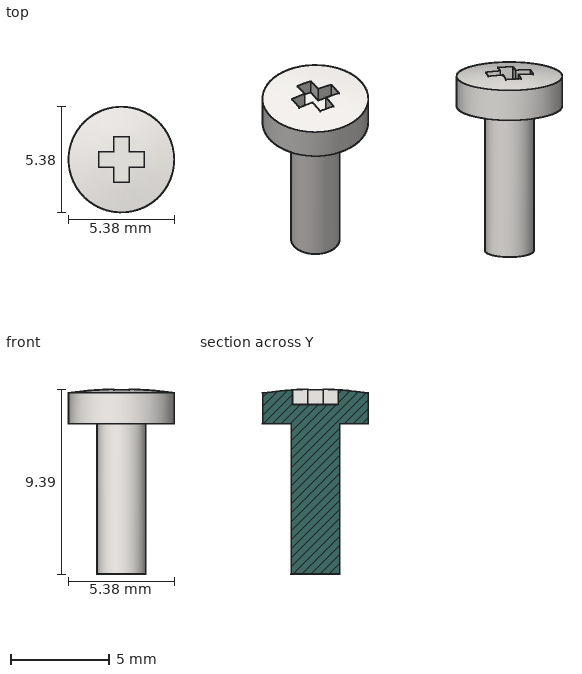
import cadquery as cq
import math

HEAD_DIAMETER = 5.38
SHANK_DIAMETER = 2.5
SHANK_LENGTH = 7.62
HEAD_SIDE_HEIGHT = 1.58
DOME_RISE = 0.2

RECESS_SPAN = 2.32
RECESS_ARM_WIDTH = 0.79
RECESS_DEPTH = 0.78

HEAD_RADIUS = HEAD_DIAMETER / 2
SHANK_RADIUS = SHANK_DIAMETER / 2
DOME_RADIUS = (HEAD_RADIUS**2 + DOME_RISE**2) / (2 * DOME_RISE)

APEX_Z = HEAD_SIDE_HEIGHT + DOME_RISE


def make_screw_blank():
    """Revolve the half profile of shank, head and shallow spherical dome."""
    half_way_x = HEAD_RADIUS / 2
    half_way_z = APEX_Z - DOME_RADIUS + math.sqrt(DOME_RADIUS**2 - half_way_x**2)
    return (
        cq.Workplane("XZ")
        .moveTo(0, -SHANK_LENGTH)
        .lineTo(SHANK_RADIUS, -SHANK_LENGTH)
        .lineTo(SHANK_RADIUS, 0)
        .lineTo(HEAD_RADIUS, 0)
        .lineTo(HEAD_RADIUS, HEAD_SIDE_HEIGHT)
        .threePointArc((half_way_x, half_way_z), (0, APEX_Z))
        .close()
        .revolve(360, (0, 0, 0), (0, 1, 0))
    )


def make_cross_recess():
    """Two crossed bars reaching from the recess floor to the dome apex."""
    floor = cq.Workplane("XY").workplane(offset=APEX_Z - RECESS_DEPTH)
    bar_along_x = floor.rect(RECESS_SPAN, RECESS_ARM_WIDTH).extrude(RECESS_DEPTH)
    bar_along_y = floor.rect(RECESS_ARM_WIDTH, RECESS_SPAN).extrude(RECESS_DEPTH)
    return bar_along_x.union(bar_along_y)


result = make_screw_blank().cut(make_cross_recess())